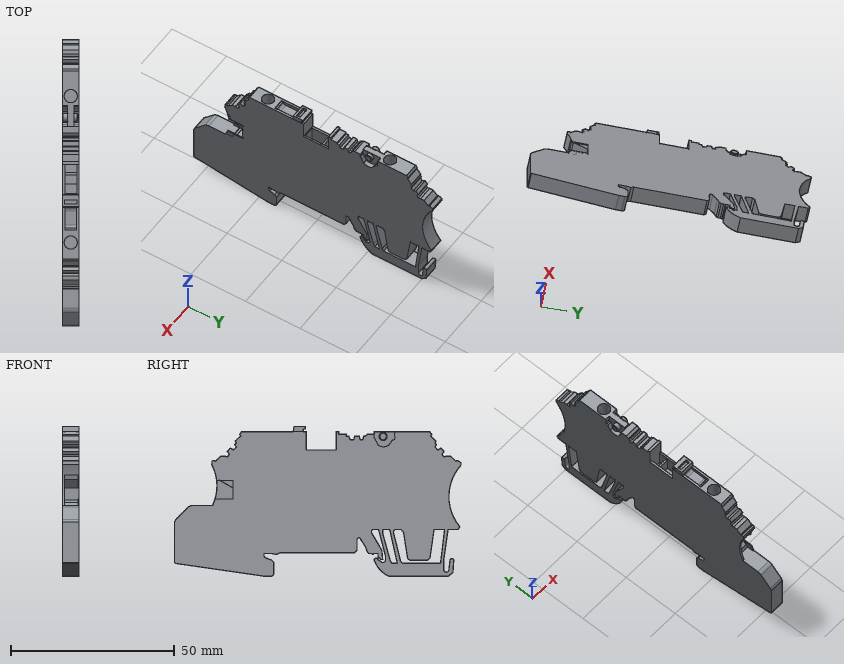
import cadquery as cq

LENGTH = 87.7
THICKNESS = 5.1
TOTAL_HEIGHT = 45.9
TOP = 44.3
TAIL_END = -LENGTH / 2
NOSE_END = LENGTH / 2

LEFT_CORNER = 34.3
RIGHT_CORNER = -23.3
SLOT_LEFT = 5.6
SLOT_RIGHT = -3.5
SLOT_FLOOR = 38.7
STEP_DROP = 0.8
TOOTH_DROP = 1.4
NOTCH_DROP = 2.5
POCKET_EDGE = 17.3

RAIL_FACE = 7.2
TAIL_TOP = 21.8
FOOT_ROOT = 14.3
FOOT_FLOOR = 4.0

HOLE_RADIUS = 2.0
HOLE_DEPTH = 10.5
HOLE_PLACES = (26.6, -18.25)

WEB_THICKNESS = 1.9
PIN_Y = 20.0
PIN_Z = 42.8
PIN_RADIUS = 1.2
PIN_CHAMFER = 0.22
PIN_LENGTH = 4.7

RECESS_X = (-1.75, 1.9)
RECESS_RIGHT = -3.25
RECESS_FLOOR = 33.3
RECESS_STEP_Y = -0.35
RECESS_STEP = 0.9
PLATE_Y = (2.5, 3.2)
PLATE_TOP = 37.7

BLOCK_BACK = -3.8
BLOCK_FRONT = -7.55
BLOCK_LIP = 0.8
BLOCK_UNDERCUT = 0.6
BLOCK_TAPER = 0.3
PIT_Y = (-6.5, -5.3)
PIT_WIDTH = 3.7
PIT_DEPTH = 1.05
TROUGH_END = -13.9
TROUGH_WIDTH = 3.5
TROUGH_DEPTH = 1.1
TROUGH_FILLET = 1.05
LEDGE_END = -14.5
LEDGE_DEPTH = 0.3

ENTRY_X = (-1.9, 2.2)
ENTRY_MOUTH = -33.3
ENTRY_TOP = 31.1
ENTRY_BACK = -25.9
ENTRY_WINDOW_Z = (23.7, 29.4)

SHOULDER_TEETH = [
    (0, 0), (0.7, 0.9), (0.3, 1.3), (2.2, 2.9), (1.8, 3.4), (2.4, 3.95), (1.8, 4.65),
    (2.8, 5.6), (3.9, 5.0), (5.0, 6.05), (4.3, 6.9), (4.9, 7.7), (5.9, 7.5), (7.3, 7.55),
    (9.1, 9.0), (9.6, 8.8),
]


def box(x_range, y_range, z_range):
    """Axis-aligned block between the given limits."""
    size = [high - low for low, high in (x_range, y_range, z_range)]
    corner = (x_range[0], y_range[0], z_range[0])
    return cq.Workplane("XY").box(*size, centered=False).translate(corner)


def prism(outline, x_range):
    """YZ polygon extruded between two X positions."""
    plane = cq.Workplane("YZ", origin=(x_range[0], 0, 0))
    return plane.polyline(outline).close().extrude(x_range[1] - x_range[0])


def full_width(margin=0.0):
    half = THICKNESS / 2 + margin
    return (-half, half)


def shoulder(corner, outward):
    """Shoulder points from the top corner down; outward is +1 or -1 along Y."""
    return [(corner + outward * reach, TOP - drop) for reach, drop in SHOULDER_TEETH]


def top_edge():
    """From the +Y shoulder across the marking teeth and the jumper slot."""
    step, tooth, notch = TOP - STEP_DROP, TOP - TOOTH_DROP, TOP - NOTCH_DROP
    return [
        (POCKET_EDGE, TOP), (POCKET_EDGE, step), (15.3, step), (14.4, tooth),
        (14.0, tooth), (13.8, notch), (13.0, notch), (12.7, tooth), (11.3, tooth),
        (11.0, notch), (9.9, notch), (9.6, tooth), (8.8, tooth),
        (8.8, step), (6.5, step), (6.5, TOP), (SLOT_LEFT, TOP),
        (SLOT_LEFT, SLOT_FLOOR), (SLOT_RIGHT, SLOT_FLOOR), (SLOT_RIGHT, TOP),
    ]


def add_lines(sketch, points):
    for point in points:
        sketch = sketch.lineTo(*point)
    return sketch


def housing_profile():
    """Closed outer outline: top edge, -Y end, underside, spring foot, +Y end."""
    left = shoulder(LEFT_CORNER, 0.9)
    right = shoulder(RIGHT_CORNER, -0.9)
    sketch = cq.Workplane("YZ", origin=(-THICKNESS / 2, 0, 0)).moveTo(*left[0])
    sketch = add_lines(sketch, top_edge() + right + [(-32.4, 35.3), (-32.5, 34.2)])
    sketch = sketch.threePointArc((-30.9, 27.8), (-32.2, TAIL_TOP))
    sketch = add_lines(sketch, [(-38.3, TAIL_TOP)])
    sketch = sketch.threePointArc((-39.0, 21.6), (-39.65, 21.2))
    sketch = add_lines(sketch, [
        (-43.4, 17.5), (TAIL_END, 16.7), (TAIL_END, 4.3), (-43.6, 3.95), (-16.3, 0), (-14.5, 0),
    ])
    sketch = sketch.threePointArc((-13.7, 0.35), (-13.4, 1.1))
    sketch = add_lines(sketch, [
        (-13.4, 4.3), (-14.1, 5.0), (-16.0, 5.7), (-16.4, 6.1), (-16.4, 6.9), (-14.0, 6.9),
        (-12.55, 6.7), (-11.6, RAIL_FACE), (11.3, RAIL_FACE), (12.0, 8.0), (12.0, 11.2),
    ])
    sketch = sketch.threePointArc((12.55, 11.75), (13.1, 11.4))
    sketch = add_lines(sketch, [
        (14.6, 9.0), (15.2, 7.5), (15.7, 6.9), (16.5, 6.9), (16.9, 6.7), (17.2, 6.9),
    ])
    sketch = add_lines(sketch, [
        (18.4, 6.9), (18.4, 6.0), (19.4, 5.1), (19.9, 5.1), (19.65, 8.0), (16.5, 13.3),
        (16.5, 13.95), (16.85, FOOT_ROOT), (18.6, FOOT_ROOT), (20.7, 6.2), (20.7, 4.8),
    ])
    sketch = sketch.threePointArc((20.35, 4.4), (19.6, 4.3))
    sketch = add_lines(sketch, [
        (18.8, 5.0), (18.4, 5.1), (18.4, 5.6), (17.7, 5.6), (17.3, 5.3), (17.3, 4.9),
    ])
    sketch = sketch.threePointArc((18.8, 2.3), (21.8, 0))
    sketch = add_lines(sketch, [(39.9, 0), (41.4, 1.1), (41.7, 5.0)])
    sketch = sketch.threePointArc((41.1, 5.4), (40.4, 5.1))
    sketch = add_lines(sketch, [(40.1, 1.8)])
    sketch = sketch.threePointArc((39.4, 1.3), (38.6, 1.8))
    sketch = add_lines(sketch, [(38.6, 5.1), (39.9, FOOT_ROOT), (42.9, FOOT_ROOT), (43.5, 15.2)])
    sketch = sketch.threePointArc((40.2, 24.5), (NOSE_END, 34.0))
    return add_lines(sketch, [(NOSE_END, 34.8)] + left[:0:-1]).close()


def foot_windows():
    """Openings between the spring legs of the foot."""
    wide = [
        (38.8, FOOT_ROOT), (35.6, FOOT_ROOT), (34.4, 5.6), (33.6, 4.9), (28.2, 4.9), (27.5, 5.5),
        (26.2, 13.5), (25.5, FOOT_ROOT), (23.6, FOOT_ROOT), (23.2, 13.7), (25.35, 4.7),
        (25.9, FOOT_FLOOR), (37.55, FOOT_FLOOR),
    ]
    narrow = [
        (21.9, FOOT_ROOT), (19.9, FOOT_ROOT), (19.9, 13.2), (22.2, 4.9), (22.6, FOOT_FLOOR),
        (24.3, FOOT_FLOOR), (22.1, 13.9),
    ]
    return [prism(outline, full_width(0.9)) for outline in (wide, narrow)]


def knife_pockets():
    """Pockets on both sides of the central web."""
    half = THICKNESS / 2
    pockets = []
    for x_range in ((-half, -WEB_THICKNESS / 2), (WEB_THICKNESS / 2, half)):
        plane = cq.Workplane("YZ", origin=(x_range[0], 0, 0)).moveTo(23.7, TOP)
        outline = add_lines(plane, [(23.4, 43.25), (23.7, 42.5), (23.4, 41.85), (22.9, 41.8), (21.85, 40.3)])
        outline = outline.threePointArc((20.0, 39.65), (18.5, 40.2))
        outline = add_lines(outline, [(17.8, 41.5), (POCKET_EDGE, 42.5), (POCKET_EDGE, TOP)]).close()
        pockets.append(outline.extrude(x_range[1] - x_range[0]))
    return pockets


def screw_hole(y):
    return cq.Workplane("XY", origin=(0, y, TOP - HOLE_DEPTH)).circle(HOLE_RADIUS).extrude(HOLE_DEPTH)


def slot_recess():
    """Stepped well below the jumper slot."""
    low_floor = RECESS_FLOOR - RECESS_STEP
    outline = [
        (SLOT_LEFT, SLOT_FLOOR), (SLOT_LEFT, RECESS_FLOOR), (RECESS_STEP_Y, RECESS_FLOOR),
        (RECESS_STEP_Y, low_floor), (RECESS_RIGHT, low_floor), (RECESS_RIGHT, SLOT_FLOOR),
    ]
    return prism(outline, RECESS_X)


def marker_trough():
    """Round-ended trough with a shallow end ledge, in front of the marker block."""
    half = TROUGH_WIDTH / 2
    trough = box((-half, half), (TROUGH_END, BLOCK_FRONT), (TOP - TROUGH_DEPTH, TOP))
    trough = trough.edges("|X and <Z").fillet(TROUGH_FILLET)
    ledge = box((-half, half), (LEDGE_END, BLOCK_FRONT), (TOP - LEDGE_DEPTH, TOP))
    return trough.union(ledge)


def wire_entry():
    """Funnel into the concave face, open through part of the +X wall."""
    funnel = [
        (ENTRY_MOUTH, ENTRY_TOP), (-30.9, ENTRY_TOP), (-30.4, 29.65), (ENTRY_BACK, 27.0),
        (ENTRY_BACK, 23.4), (-28.25, 23.4), (-29.5, 22.6), (-30.0, TAIL_TOP), (ENTRY_MOUTH, TAIL_TOP),
    ]
    window = box((ENTRY_X[1], THICKNESS / 2), (ENTRY_MOUTH, ENTRY_BACK), ENTRY_WINDOW_Z)
    return [prism(funnel, ENTRY_X), window]


def pin_blank():
    """Plain cylinder of the pivot pin."""
    plane = cq.Workplane("YZ", origin=(-THICKNESS / 2, PIN_Y, PIN_Z))
    return plane.circle(PIN_RADIUS).extrude(PIN_LENGTH)


def make_housing():
    body = housing_profile().extrude(THICKNESS)
    cutters = foot_windows() + knife_pockets() + wire_entry()
    cutters += [screw_hole(y) for y in HOLE_PLACES]
    cutters += [slot_recess(), marker_trough(), pin_blank()]
    for cutter in cutters:
        body = body.cut(cutter)
    return body


def make_pin():
    return pin_blank().faces("<X or >X").chamfer(PIN_CHAMFER)


def make_contact_plate():
    """Thin plate standing across the recess on its floor."""
    return box(RECESS_X, PLATE_Y, (RECESS_FLOOR, PLATE_TOP))


def make_marker_block():
    """Lipped block on the housing top with a pit in its upper face."""
    lip_bottom = TOTAL_HEIGHT - BLOCK_LIP
    outline = [
        (BLOCK_BACK, TOTAL_HEIGHT), (BLOCK_BACK, lip_bottom), (BLOCK_BACK - BLOCK_UNDERCUT, lip_bottom),
        (BLOCK_BACK - BLOCK_UNDERCUT, TOP), (BLOCK_FRONT, TOP),
        (BLOCK_FRONT + BLOCK_TAPER, TOTAL_HEIGHT),
    ]
    pit = box((-PIT_WIDTH / 2, PIT_WIDTH / 2), PIT_Y, (TOTAL_HEIGHT - PIT_DEPTH, TOTAL_HEIGHT))
    return prism(outline, full_width()).cut(pit)


housing = make_housing()
pin = make_pin()
contact_plate = make_contact_plate()
marker_block = make_marker_block()

result = cq.Compound.makeCompound([
    housing.val(), pin.val(), contact_plate.val(), marker_block.val(),
])